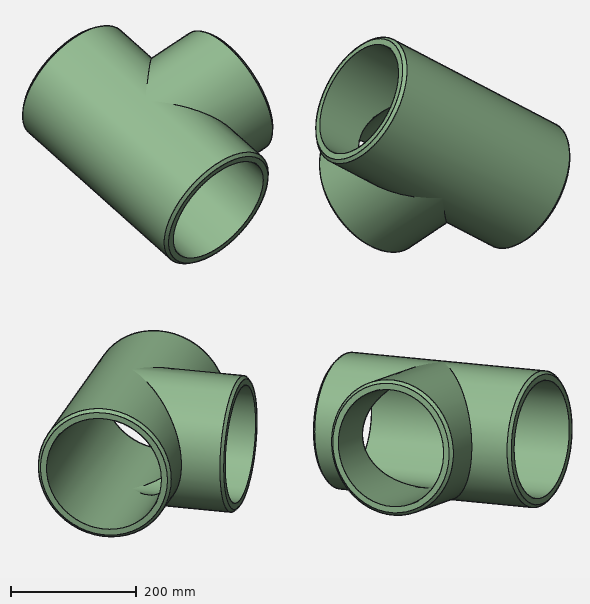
import cadquery as cq

run_length = 355.5
branch_length = run_length / 2
outer_diameter = 219.0
bore_diameter = 189.2
end_bevel = 5.0


def run_cylinder(diameter):
    return cq.Workplane("YZ").circle(diameter / 2).extrude(run_length / 2, both=True)


def branch_cylinder(diameter):
    return cq.Workplane("XZ").circle(diameter / 2).extrude(-branch_length)


run_body = run_cylinder(outer_diameter).faces("<X or >X").chamfer(end_bevel)
branch_body = branch_cylinder(outer_diameter).faces(">Y").chamfer(end_bevel)

bores = run_cylinder(bore_diameter).union(branch_cylinder(bore_diameter))

result = run_body.union(branch_body).cut(bores)